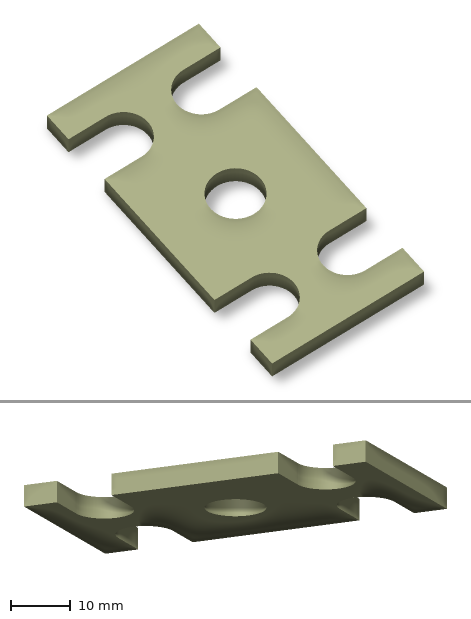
import cadquery as cq

length = 63.5
width = 31.75
thickness = 3.75

hole_diameter = 10.4

slot_width = 10.15
slot_spacing = 41.15
slot_depth = 12.8


def edge_slot(x, side):
    """Cutter for one slot running inward from the long edge at side * Y."""
    radius = slot_width / 2
    edge_y = side * width / 2
    round_centre_y = side * (width / 2 - slot_depth + radius)
    tip_y = side * (width / 2 - slot_depth)
    return (
        cq.Workplane("XY")
        .moveTo(x - radius, edge_y)
        .lineTo(x - radius, round_centre_y)
        .threePointArc((x, tip_y), (x + radius, round_centre_y))
        .lineTo(x + radius, edge_y)
        .close()
        .extrude(thickness)
    )


plate = cq.Workplane("XY").box(length, width, thickness, centered=(True, True, False))
result = plate.faces(">Z").workplane().hole(hole_diameter)

for x in (-slot_spacing / 2, slot_spacing / 2):
    for side in (-1, 1):
        result = result.cut(edge_slot(x, side))